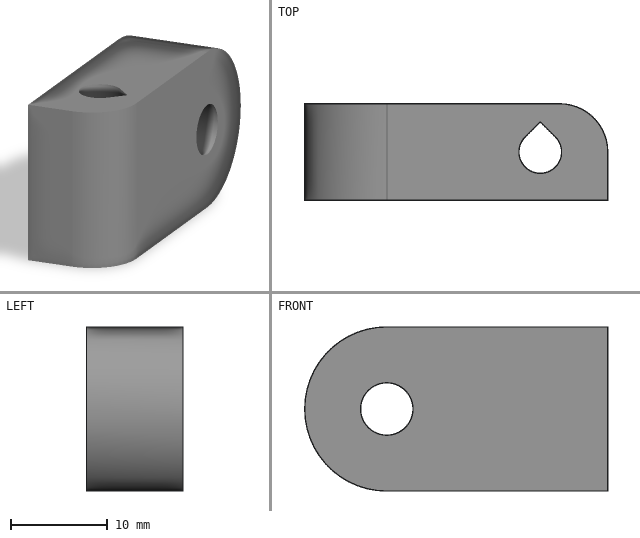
import cadquery as cq
import math

length = 31.37
thickness = 10.0
height = 17.0
pivot_diameter = 5.4
teardrop_radius = 2.2
teardrop_end_distance = 7.0

end_radius = height / 2
corner_radius = thickness / 2
teardrop_x = length - teardrop_end_distance
teardrop_y = thickness / 2


def make_body():
    """Link with a full-round end at X = 0 and one rounded back corner at the square end."""
    profile = (
        cq.Workplane("XZ")
        .moveTo(end_radius, -end_radius)
        .lineTo(length, -end_radius)
        .lineTo(length, end_radius)
        .lineTo(end_radius, end_radius)
        .threePointArc((0, 0), (end_radius, -end_radius))
        .close()
    )
    body = profile.extrude(-thickness)
    return body.edges("|Z and >X and >Y").fillet(corner_radius)


def make_pivot_hole():
    """Cylinder along Y, concentric with the round end."""
    return cq.Workplane("XZ").center(end_radius, 0).circle(pivot_diameter / 2).extrude(-thickness)


def make_teardrop_hole():
    """Vertical through hole: a circle with a right-angled peak towards +Y."""
    tangent = teardrop_radius * math.sqrt(0.5)
    peak = teardrop_radius * math.sqrt(2)
    return (
        cq.Workplane("XY", origin=(teardrop_x, teardrop_y, -height / 2))
        .moveTo(-tangent, tangent)
        .threePointArc((0, -teardrop_radius), (tangent, tangent))
        .lineTo(0, peak)
        .close()
        .extrude(height)
    )


result = make_body().cut(make_pivot_hole()).cut(make_teardrop_hole())